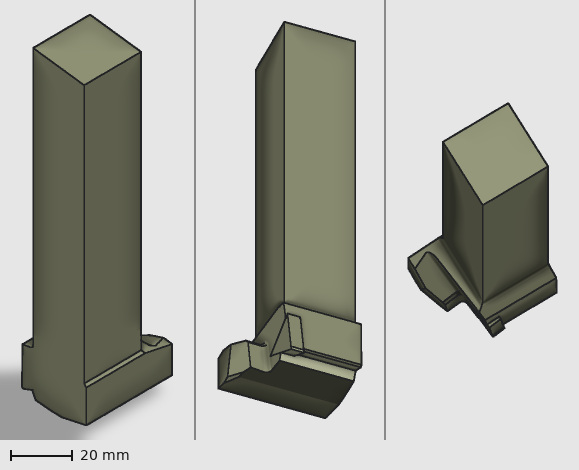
import cadquery as cq
import math

TOTAL_HEIGHT = 151.4
SHANK_SIDE = 24.8

HEAD_DEPTH = 37.4
HEAD_LEFT_X = -5.5
HEAD_RIGHT_X = 25.9
LEFT_LEAN = 0.3
SHOULDER_Z = 21.2
NECK_Z = 22.7
NECK_RADIUS = 2.0
RIGHT_SHOULDER_Z = 22.5
ROOF_REAR_Z = 19.7
HEAD_BOTTOM_Z = 1.4
LOWER_CHAMFER = 3.3
UNDERSIDE = [
    (HEAD_LEFT_X, 2.9),
    (HEAD_LEFT_X + 0.6, 2.3),
    (-0.5, 4.5),
    (1.2, HEAD_BOTTOM_Z),
    (9.4, 1.7),
    (14.2, 2.3),
    (HEAD_RIGHT_X, 6.4),
]

RAKE_Y = 25.7
RAKE_SLOPE_X = 0.1
RAKE_SLOPE_Z = 0.09
rake_plane = cq.Plane(
    origin=(0, RAKE_Y, 0),
    xDir=(1, RAKE_SLOPE_X, 0),
    normal=(RAKE_SLOPE_X, -1, RAKE_SLOPE_Z),
)

POCKET_DEPTH = 22.7
POCKET_REACH = 45.4
LUG_FACE_X = 8.6
LUG_TOP_Z = 14.4
LUG_EDGE_SIZE = 0.9
LUG_EDGE_HEIGHT = 1.4
FLOOR_SLOPE = 0.46
POCKET_RADIUS = 3.8 / 2

BEVEL_START = 6.7
BEVEL_SLOPE = 0.26

INSERT_SIDE = 15.3
INSERT_THICKNESS = 4.7
INSERT_LEFT_X = -6.7
NOSE_REACH = 0.3
NOSE_Z = 0.9
NOSE_HEIGHT = 0.3


def round_neck_edge(prism, x, y):
    """Fillet the prism edge that passes through (x, y) at the neck height."""
    return prism.edges(cq.selectors.NearestToPointSelector((x, y, NECK_Z))).fillet(NECK_RADIUS)


def make_front_prism():
    """Shank and head outline seen along Y."""
    outline = [
        (0, TOTAL_HEIGHT),
        (0, NECK_Z),
        (HEAD_LEFT_X + LEFT_LEAN, SHOULDER_Z),
        *UNDERSIDE,
        (HEAD_RIGHT_X, RIGHT_SHOULDER_Z),
        (SHANK_SIDE, RIGHT_SHOULDER_Z + HEAD_RIGHT_X - SHANK_SIDE),
        (SHANK_SIDE, TOTAL_HEIGHT),
    ]
    prism = cq.Workplane("XZ").polyline(outline).close().extrude(-HEAD_DEPTH)
    return round_neck_edge(prism, 0, HEAD_DEPTH / 2)


def make_side_prism():
    """Shank and head outline seen along X."""
    outline = [
        (0, HEAD_BOTTOM_Z),
        (HEAD_DEPTH - LOWER_CHAMFER, HEAD_BOTTOM_Z),
        (HEAD_DEPTH, HEAD_BOTTOM_Z + LOWER_CHAMFER),
        (HEAD_DEPTH, ROOF_REAR_Z),
        (SHANK_SIDE, NECK_Z),
        (SHANK_SIDE, TOTAL_HEIGHT),
        (0, TOTAL_HEIGHT),
    ]
    start_x = 2 * HEAD_LEFT_X
    length = HEAD_RIGHT_X - 2 * start_x
    prism = cq.Workplane("YZ", origin=(start_x, 0, 0)).polyline(outline).close().extrude(length)
    return round_neck_edge(prism, start_x + length / 2, SHANK_SIDE)


def make_chip_pocket():
    """Space between the rake plane and the lug, with a rounded root."""
    floor_x = LUG_FACE_X + LUG_EDGE_SIZE
    outline = [
        (-POCKET_REACH, -POCKET_REACH),
        (LUG_FACE_X, -POCKET_REACH),
        (LUG_FACE_X, LUG_TOP_Z - LUG_EDGE_HEIGHT),
        (floor_x, LUG_TOP_Z),
        (POCKET_REACH, LUG_TOP_Z + FLOOR_SLOPE * (POCKET_REACH - floor_x)),
        (-POCKET_REACH, POCKET_REACH),
    ]
    pocket = cq.Workplane(rake_plane).polyline(outline).close().extrude(-POCKET_DEPTH)
    rake_wall = cq.selectors.DirectionMinMaxSelector(rake_plane.zDir, True)
    return pocket.faces(rake_wall).edges().fillet(POCKET_RADIUS)


def make_lug_bevel():
    tilted_section = cq.Plane(
        origin=rake_plane.toWorldCoords((0, -POCKET_REACH, 0)),
        xDir=rake_plane.xDir,
        normal=rake_plane.yDir,
    )
    run = HEAD_RIGHT_X - LUG_FACE_X
    outline = [
        (LUG_FACE_X - run, BEVEL_START - BEVEL_SLOPE * run),
        (LUG_FACE_X + run, BEVEL_START + BEVEL_SLOPE * run),
        (LUG_FACE_X - run, BEVEL_START + BEVEL_SLOPE * run),
    ]
    return cq.Workplane(tilted_section).polyline(outline).close().extrude(2 * POCKET_REACH)


def make_insert():
    """Equilateral plate, flush with the rake plane, with a small nose at its lower corner."""
    apex_x = INSERT_LEFT_X + INSERT_SIDE * math.cos(math.radians(30))
    outline = [
        (INSERT_LEFT_X, 0),
        (apex_x, INSERT_SIDE / 2),
        (INSERT_LEFT_X, INSERT_SIDE),
        (INSERT_LEFT_X, NOSE_Z + NOSE_HEIGHT),
        (INSERT_LEFT_X - NOSE_REACH, NOSE_Z),
    ]
    return cq.Workplane(rake_plane).polyline(outline).close().extrude(INSERT_THICKNESS)


blank = make_front_prism().intersect(make_side_prism())
insert = make_insert()
holder = blank.cut(make_chip_pocket()).cut(make_lug_bevel()).cut(insert)

result = cq.Compound.makeCompound([holder.solids().val(), insert.val()])